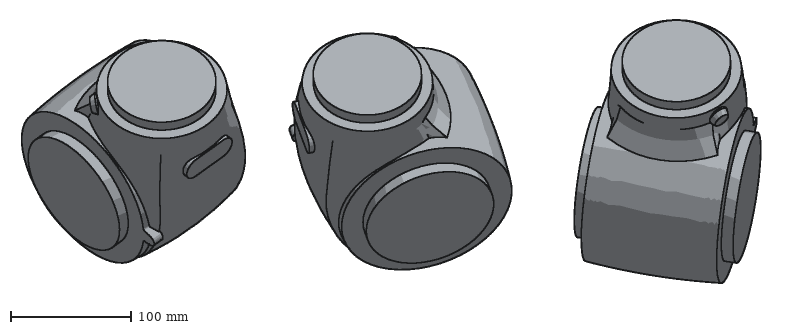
import math

import cadquery as cq

DRUM_HALF_WIDTH = 57.5
DRUM_END_RADIUS = 73.5
DRUM_CROWN_RADIUS = 76.3
DRUM_BOSS_RADIUS = 55.0
BOSS_HEIGHT = 10.0

NECK_X = 35.0
NECK_TOP_Z = 107.0
NECK_TOP_RADIUS = 54.2
NECK_TOP_DIAGONAL = NECK_TOP_RADIUS * math.sqrt(0.5)
NECK_BOSS_RADIUS = 45.0

NECK_LINE_Z = 90.3
NECK_LINE_OUTER = (76.4, 40.7, 90.5)
NECK_LINE_SIDE_Y = 55.1
NECK_INNER_CORNER_SPREAD = 0.8
NECK_INNER_MIDDLE_SPREAD = 1.0

FLARE_TOP_Z = 93.4
FLARE_BEND_Z = 83.5
FLARE_BOTTOM_Z = 66.0
FLARE_ROOT = (20.0, 50.5, 22.0)

ELBOW_PIVOT_X = -40.0
ELBOW_SIDE_Y = 56.0
ELBOW_CORNER_Y = 48.5
ELBOW_INNER_CORNER = 28.0
ELBOW_INNER_MIDDLE = 22.0

PAD_FACE_X = 92.33
PAD_LENGTH = 52.0
PAD_HEIGHT = 20.5
PAD_Z = 67.8
PAD_DEPTH = 12.0

POINTER_TIP_X = 86.2
POINTER_ROOT_X = 70.0
POINTER_ROOT_HALF_HEIGHT = 7.2
POINTER_SHOULDER_X = 81.9
POINTER_SHOULDER_HALF_HEIGHT = 5.3
POINTER_THICKNESS = 10.0
POINTER_ROOT_FILLET = 2.0
SELECTION_MARGIN = 1.0

PLUG_FACE_CENTER = (-1.4, -46.3, 93.9)
PLUG_DIRECTION = (-0.64, -0.74, -0.2)
PLUG_FACE_RADIUS = 6.8
PLUG_BASE_RADIUS = 9.4
PLUG_CONE_HEIGHT = 5.0
PLUG_ROOT_DEPTH = 8.0


def section(plane, inner, outer, side_y):
    """Closed wire of four arcs; inner and outer are (corner u, corner y, middle u)."""
    inner_u, inner_y, inner_middle = inner
    outer_u, outer_y, outer_middle = outer
    side_u = (inner_u + outer_u) / 2
    outline = (
        cq.Workplane(plane)
        .moveTo(inner_u, -inner_y)
        .threePointArc((side_u, -side_y), (outer_u, -outer_y))
        .threePointArc((outer_middle, 0), (outer_u, outer_y))
        .threePointArc((side_u, side_y), (inner_u, inner_y))
        .threePointArc((inner_middle, 0), (inner_u, -inner_y))
        .close()
    )
    return outline.val()


def level_section(z, inner, outer, side_y):
    """Horizontal section at height z, with u measured along X."""
    return section(cq.Plane(origin=(0, 0, z)), inner, outer, side_y)


def elbow_section(angle, outer_corner, outer_middle):
    """Section turned down by angle degrees about the elbow pivot."""
    turn = math.radians(angle)
    plane = cq.Plane(
        origin=(ELBOW_PIVOT_X, 0, 0),
        xDir=(math.cos(turn), 0, -math.sin(turn)),
        normal=(math.sin(turn), 0, math.cos(turn)),
    )
    inner = (ELBOW_INNER_CORNER, ELBOW_CORNER_Y, ELBOW_INNER_MIDDLE)
    outer = (outer_corner, ELBOW_CORNER_Y, outer_middle)
    return section(plane, inner, outer, ELBOW_SIDE_Y)


def make_drum():
    barrel = (
        cq.Workplane("XY")
        .moveTo(0, -DRUM_HALF_WIDTH)
        .lineTo(DRUM_END_RADIUS, -DRUM_HALF_WIDTH)
        .threePointArc((DRUM_CROWN_RADIUS, 0), (DRUM_END_RADIUS, DRUM_HALF_WIDTH))
        .lineTo(0, DRUM_HALF_WIDTH)
        .close()
        .revolve(360, (0, 0, 0), (0, 1, 0))
    )
    boss_half_width = DRUM_HALF_WIDTH + BOSS_HEIGHT
    bosses = cq.Workplane("XZ").circle(DRUM_BOSS_RADIUS).extrude(boss_half_width, both=True)
    return barrel.union(bosses)


def neck_inner(z):
    """Inner (-X) wall of the neck at height z: corner x, corner y and middle x."""
    share = (NECK_TOP_Z - z) / (NECK_TOP_Z - NECK_LINE_Z)
    corner_x = NECK_X - NECK_TOP_DIAGONAL - share * NECK_INNER_CORNER_SPREAD
    corner_y = NECK_TOP_DIAGONAL + share * NECK_INNER_CORNER_SPREAD
    middle_x = NECK_X - NECK_TOP_RADIUS - share * NECK_INNER_MIDDLE_SPREAD
    return (corner_x, corner_y, middle_x)


def make_neck():
    """Neck from the round top down to the line where the housing wall starts."""
    top_outer = (NECK_X + NECK_TOP_DIAGONAL, NECK_TOP_DIAGONAL, NECK_X + NECK_TOP_RADIUS)
    top = level_section(NECK_TOP_Z, neck_inner(NECK_TOP_Z), top_outer, NECK_TOP_RADIUS)
    bottom = level_section(NECK_LINE_Z, neck_inner(NECK_LINE_Z), NECK_LINE_OUTER, NECK_LINE_SIDE_Y)
    return cq.Workplane(cq.Solid.makeLoft([top, bottom], True))


def make_wall():
    """Rounded-square wall that runs down from the neck and bends into the drum."""
    sections = [
        level_section(NECK_LINE_Z, neck_inner(NECK_LINE_Z), NECK_LINE_OUTER, NECK_LINE_SIDE_Y),
        level_section(82.0, (-5.5, 42.5, -17.0), (78.0, 42.5, 90.9), 55.4),
        level_section(68.0, (-8.5, 46.5, -15.0), (80.3, 45.2, 91.3), 55.9),
        level_section(40.0, (-12.0, ELBOW_CORNER_Y, -18.0), (83.6, ELBOW_CORNER_Y, 91.7), ELBOW_SIDE_Y),
        elbow_section(0, 121.5, 127.3),
        elbow_section(15, 114.6, 118.8),
        elbow_section(28, 106.8, 110.8),
        elbow_section(40, 96.0, 100.0),
    ]
    return cq.Workplane(cq.Solid.makeLoft(sections, False))


def make_flare():
    """Skirt on the inner (-X) side that spreads from the neck onto the drum."""
    sections = [
        level_section(FLARE_TOP_Z, neck_inner(FLARE_TOP_Z), FLARE_ROOT, 45.8),
        level_section(FLARE_BEND_Z, (-9.8, 41.0, -23.4), FLARE_ROOT, 46.0),
        level_section(FLARE_BOTTOM_Z, (-25.5, 49.7, -35.1), FLARE_ROOT, 47.0),
    ]
    return cq.Workplane(cq.Solid.makeLoft(sections, True))


def make_neck_boss():
    return (
        cq.Workplane("XY", origin=(NECK_X, 0, NECK_LINE_Z))
        .circle(NECK_BOSS_RADIUS)
        .extrude(NECK_TOP_Z + BOSS_HEIGHT - NECK_LINE_Z)
    )


def make_pad():
    return (
        cq.Workplane("YZ", origin=(PAD_FACE_X - PAD_DEPTH, 0, PAD_Z))
        .slot2D(PAD_LENGTH, PAD_HEIGHT)
        .extrude(PAD_DEPTH)
    )


def make_pointer():
    return (
        cq.Workplane("XZ", origin=(0, POINTER_THICKNESS - DRUM_HALF_WIDTH, 0))
        .moveTo(POINTER_ROOT_X, -POINTER_ROOT_HALF_HEIGHT)
        .lineTo(POINTER_SHOULDER_X, -POINTER_SHOULDER_HALF_HEIGHT)
        .threePointArc((POINTER_TIP_X, 0), (POINTER_SHOULDER_X, POINTER_SHOULDER_HALF_HEIGHT))
        .lineTo(POINTER_ROOT_X, POINTER_ROOT_HALF_HEIGHT)
        .close()
        .extrude(POINTER_THICKNESS)
    )


def make_plug():
    inward = cq.Vector(*PLUG_DIRECTION).normalized() * -1
    face_center = cq.Vector(*PLUG_FACE_CENTER)
    cone = cq.Solid.makeCone(PLUG_FACE_RADIUS, PLUG_BASE_RADIUS, PLUG_CONE_HEIGHT, face_center, inward)
    root_center = face_center + inward * PLUG_CONE_HEIGHT
    root = cq.Solid.makeCylinder(PLUG_BASE_RADIUS, PLUG_ROOT_DEPTH, root_center, inward)
    return cq.Workplane(cone).union(cq.Workplane(root))


def make_drum_with_pointer():
    """Drum and pointer, with the two corners between them rounded."""
    corner_zone = cq.selectors.BoxSelector(
        (POINTER_ROOT_X, -DRUM_HALF_WIDTH + SELECTION_MARGIN, -POINTER_ROOT_HALF_HEIGHT),
        (
            POINTER_SHOULDER_X - SELECTION_MARGIN,
            POINTER_THICKNESS - DRUM_HALF_WIDTH - SELECTION_MARGIN,
            POINTER_ROOT_HALF_HEIGHT,
        ),
    )
    return make_drum().union(make_pointer()).edges(corner_zone).fillet(POINTER_ROOT_FILLET)


result = (
    make_neck()
    .union(make_wall())
    .union(make_flare())
    .union(make_drum_with_pointer())
    .union(make_neck_boss())
    .union(make_pad())
    .union(make_plug())
)